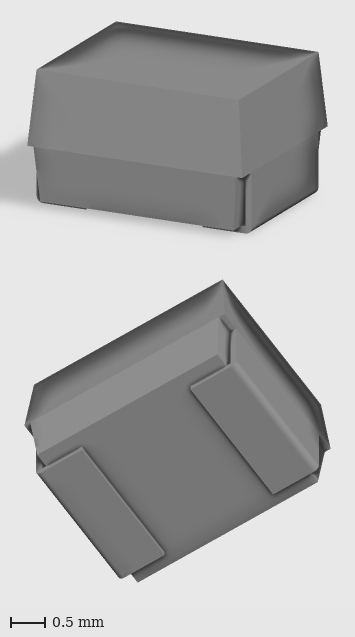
import cadquery as cq
import math

length = 3.5
width = 2.8
height = 2.1

draft_angle = 5.0
parting_height = 0.95

strip_thickness = 0.1
strip_width = 2.185
foot_length = 0.8
bend_radius = strip_thickness


def drafted_block(size_x, size_y, base_height, rise):
    """Rectangular block that narrows by the draft angle away from its base."""
    inset = abs(rise) * math.tan(math.radians(draft_angle))
    return (
        cq.Workplane("XY", origin=(0, 0, base_height))
        .rect(size_x, size_y)
        .workplane(offset=rise)
        .rect(size_x - 2 * inset, size_y - 2 * inset)
        .loft(ruled=True)
    )


def left_terminal():
    """L-shaped strip with a rounded outer bend."""
    outer = -length / 2
    inner = outer + strip_thickness
    foot_end = outer + foot_length
    strip = (
        cq.Workplane("XZ")
        .moveTo(outer, parting_height)
        .lineTo(outer, 0)
        .lineTo(foot_end, 0)
        .lineTo(foot_end, strip_thickness)
        .lineTo(inner, strip_thickness)
        .lineTo(inner, parting_height)
        .close()
        .extrude(strip_width / 2, both=True)
    )
    return strip.edges("<X and |Y").edges("<Z").fillet(bend_radius)


upper_body = drafted_block(length, width, parting_height, height - parting_height)

lower_body = drafted_block(
    length - 2 * strip_thickness, width, parting_height, strip_thickness - parting_height
)

terminal = left_terminal()
result = upper_body.union(lower_body).union(terminal).union(terminal.mirror("YZ"))